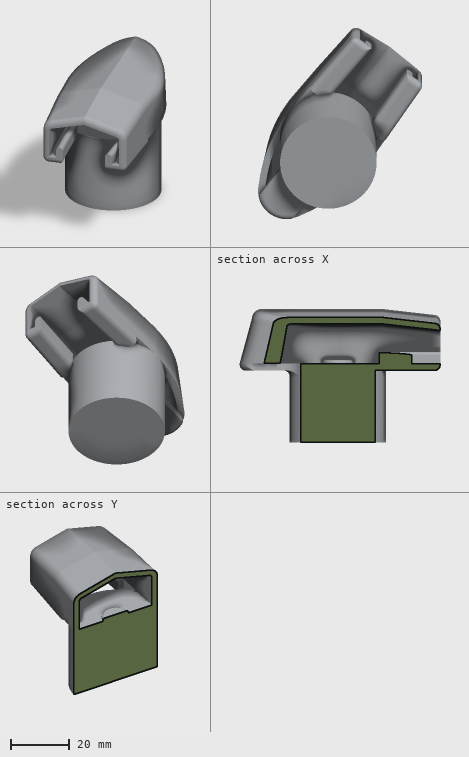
import cadquery as cq
import math

POST_RADIUS = 16.5
FLOOR_Z = 27.0
UNDERSIDE_Z = 24.5
RIDGE_Z = 45.59

NOSE_Y = -35.0
TAIL_Y = 33.58
TAIL_RADIUS = 10.0
TAIL_DRAFT = math.tan(math.radians(15))
SIDE_TAPER_ANGLE = math.radians(2.8)

ROOF_PITCH = math.tan(math.radians(15))
ROOF_BREAK_Y = -15.0
NOSE_FALL = math.tan(math.radians(6.5))

EAVE_FILLET = 3.4
EDGE_FILLET = 2.0
WALL = 2.3
CAVITY_EAVE_FILLET = 1.1

LIP_WIDTH = 7.26
LIP_BACK_Y = -10.85
LIP_CORNER_RADIUS = 1.0
RAIL_WIDTH = 2.4
RAIL_TOP_Z = 30.9
RAIL_BACK_Y = -14.0
RAIL_ROUND = 1.1

RIB_HALF_WIDTH = 7.0
RIB_TIP_FILLET = 3.0
RIB_ROOT_FILLET = 6.0
RIB_UNDER_FILLET = 2.0

PIVOT_RADIUS = 5.1
PIVOT_HEIGHT = 1.1
PIVOT_FILLET = 0.8

MARGIN = 5.0
TOLERANCE = 0.001


def side_x(y, inset=0.0):
    """Half width at y of the tapered side face, moved inward by inset."""
    return (POST_RADIUS - inset) / math.cos(SIDE_TAPER_ANGLE) + y * math.tan(SIDE_TAPER_ANGLE)


def prism(outline, bottom, top):
    """Extrude a closed outline, drawn in XY, between two heights."""
    return outline.extrude(top - bottom).translate((0, 0, bottom))


def mirrored_pair(body):
    """Body plus its mirror image across the YZ plane."""
    return body.union(body.mirror("YZ"))


def front_outline(nose_y, inset=0.0):
    """Post circle at the back, running tangentially into the tapered sides."""
    radius = POST_RADIUS - inset
    nose_x = side_x(nose_y, inset)
    tangent_x = radius * math.cos(SIDE_TAPER_ANGLE)
    tangent_y = -radius * math.sin(SIDE_TAPER_ANGLE)
    mid_x = radius * math.cos(SIDE_TAPER_ANGLE / 2)
    mid_y = -radius * math.sin(SIDE_TAPER_ANGLE / 2)
    return (
        cq.Workplane("XY")
        .moveTo(radius, 0)
        .threePointArc((mid_x, mid_y), (tangent_x, tangent_y))
        .lineTo(nose_x, nose_y)
        .lineTo(-nose_x, nose_y)
        .lineTo(-tangent_x, tangent_y)
        .threePointArc((-mid_x, mid_y), (-radius, 0))
        .close()
    )


def tail_outline(workplane, tip_y, inset=0.0):
    """Two flank arcs, square to the X axis, joined by a tangent tip arc."""
    half_width = POST_RADIUS - inset
    tip_radius = TAIL_RADIUS - inset
    tip_center_y = tip_y - tip_radius
    flank_radius = (tip_center_y**2 + half_width**2 - tip_radius**2) / (2 * (half_width - tip_radius))
    flank_center_x = half_width - flank_radius
    sweep = math.atan2(tip_center_y, -flank_center_x)
    join_x = flank_center_x + flank_radius * math.cos(sweep)
    join_y = flank_radius * math.sin(sweep)
    mid_x = flank_center_x + flank_radius * math.cos(sweep / 2)
    mid_y = flank_radius * math.sin(sweep / 2)
    return (
        workplane.moveTo(half_width, 0)
        .threePointArc((mid_x, mid_y), (join_x, join_y))
        .threePointArc((0, tip_y), (-join_x, join_y))
        .threePointArc((-mid_x, mid_y), (-half_width, 0))
        .close()
    )


def leaning_tail(inset=0.0):
    """Tail above floor height; its tip leans forward while its sides stay upright."""
    height = RIDGE_Z + MARGIN - FLOOR_Z
    tip_y = TAIL_Y - inset * math.hypot(1, TAIL_DRAFT)
    base = tail_outline(cq.Workplane("XY").workplane(offset=FLOOR_Z), tip_y, inset)
    top = tail_outline(base.workplane(offset=height), tip_y - height * TAIL_DRAFT, inset)
    return top.loft(ruled=True)


def gable(crest_z, front_y, back_y, fall=0.0):
    """Gable-roofed bar along Y whose roof falls toward -Y at the given slope."""
    half_width = POST_RADIUS + MARGIN
    length = back_y - front_y
    eave_z = crest_z - half_width * ROOF_PITCH
    section = cq.Wire.makePolygon(
        [
            cq.Vector(-half_width, back_y, 0),
            cq.Vector(half_width, back_y, 0),
            cq.Vector(half_width, back_y, eave_z),
            cq.Vector(0, back_y, crest_z),
            cq.Vector(-half_width, back_y, eave_z),
        ],
        close=True,
    )
    direction = cq.Vector(0, -length, -length * fall)
    return cq.Workplane(cq.Solid.extrudeLinear(section, [], direction))


def roof_envelope(crest_z):
    """Everything under a roof that is level at the back and falls at the nose."""
    level = gable(crest_z, ROOF_BREAK_Y, TAIL_Y + MARGIN)
    falling = gable(crest_z, NOSE_Y - MARGIN, ROOF_BREAK_Y, NOSE_FALL)
    return level.union(falling)


def is_eave(edge):
    """True for the roof rim along the sides and tail, not the crest, the break or the nose."""
    start = edge.startPoint()
    end = edge.endPoint()
    on_roof = min(start.z, end.z) > (FLOOR_Z + RIDGE_Z) / 2
    runs_along_y = abs(start.y - end.y) > TOLERANCE
    on_crest = abs(edge.Center().x) < TOLERANCE
    return on_roof and runs_along_y and not on_crest


def head_block():
    """Solid head with rounded eaves, nose outline and underside rim."""
    front = prism(front_outline(NOSE_Y), UNDERSIDE_Z, RIDGE_Z + MARGIN)
    tail_base = prism(tail_outline(cq.Workplane("XY"), TAIL_Y), UNDERSIDE_Z, FLOOR_Z)
    block = front.union(tail_base).union(leaning_tail()).intersect(roof_envelope(RIDGE_Z))
    block = block.edges().filter(is_eave).fillet(EAVE_FILLET)
    return block.faces("<Z or <Y").edges().fillet(EDGE_FILLET)


def cavity():
    """Hollow open at the nose, following the sides, tail and roof one wall inside."""
    front = prism(front_outline(NOSE_Y - MARGIN, WALL), FLOOR_Z, RIDGE_Z + MARGIN)
    ceiling_crest = RIDGE_Z - WALL * math.hypot(1, ROOF_PITCH)
    hollow = front.union(leaning_tail(WALL)).intersect(roof_envelope(ceiling_crest))
    return hollow.edges().filter(is_eave).fillet(CAVITY_EAVE_FILLET)


def side_strip(outer_inset, inner_inset, front_y, back_y):
    """Strip parallel to the right side face, between two insets from it."""
    return (
        cq.Workplane("XY")
        .moveTo(side_x(front_y, outer_inset), front_y)
        .lineTo(side_x(back_y, outer_inset), back_y)
        .lineTo(side_x(back_y, inner_inset), back_y)
        .lineTo(side_x(front_y, inner_inset), front_y)
        .close()
    )


def lip_keep():
    """Region holding the right lip, rounded at its back corner and lower inner edge."""
    strip = prism(side_strip(0, LIP_WIDTH, NOSE_Y, LIP_BACK_Y), UNDERSIDE_Z, FLOOR_Z)
    strip = strip.edges("|Z").edges(">Y").edges(">X").fillet(LIP_CORNER_RADIUS)
    return strip.faces("<X").edges("<Z").fillet(EDGE_FILLET)


def rib_keep():
    """Region holding the tail rib, with its tip corners rounded."""
    rib = cq.Workplane("XY").center(0, TAIL_Y / 2).rect(2 * RIB_HALF_WIDTH, TAIL_Y)
    tail = prism(tail_outline(cq.Workplane("XY"), TAIL_Y), UNDERSIDE_Z, FLOOR_Z)
    clipped = tail.intersect(prism(rib, UNDERSIDE_Z, FLOOR_Z))
    return clipped.edges("|Z").edges(">Y").fillet(RIB_TIP_FILLET)


def rib_root():
    """Flare where the rib meets the post: vertical side fillets and a fillet below."""
    reach = POST_RADIUS + RIB_ROOT_FILLET
    center_x = RIB_HALF_WIDTH + RIB_ROOT_FILLET
    center_y = math.sqrt(reach**2 - center_x**2)
    touch_x = center_x * POST_RADIUS / reach
    touch_y = center_y * POST_RADIUS / reach
    to_post = math.atan2(-center_y, -center_x)
    mid_angle = (to_post - math.pi) / 2
    mid_x = center_x + RIB_ROOT_FILLET * math.cos(mid_angle)
    mid_y = center_y + RIB_ROOT_FILLET * math.sin(mid_angle)
    footprint = (
        cq.Workplane("XY")
        .moveTo(touch_x, touch_y)
        .threePointArc((mid_x, mid_y), (RIB_HALF_WIDTH, center_y))
        .lineTo(-RIB_HALF_WIDTH, center_y)
        .threePointArc((-mid_x, mid_y), (-touch_x, touch_y))
        .lineTo(0, 0)
        .close()
    )
    bottom_z = UNDERSIDE_Z - RIB_UNDER_FILLET
    fillet_edge = POST_RADIUS + RIB_UNDER_FILLET
    bend = RIB_UNDER_FILLET * (1 - math.cos(math.radians(45)))
    collar = (
        cq.Workplane("XZ")
        .moveTo(0, bottom_z)
        .lineTo(POST_RADIUS, bottom_z)
        .threePointArc((POST_RADIUS + bend, UNDERSIDE_Z - bend), (fillet_edge, UNDERSIDE_Z))
        .lineTo(reach, UNDERSIDE_Z)
        .lineTo(reach, FLOOR_Z)
        .lineTo(0, FLOOR_Z)
        .close()
        .revolve(360, (0, 0, 0), (0, 1, 0))
    )
    return prism(footprint, bottom_z, FLOOR_Z).intersect(collar)


def trimmed_head():
    """Hollow head with only the lips and the rib left below the floor."""
    head = head_block().cut(cavity())
    span = 2 * (TAIL_Y - NOSE_Y)
    upper = prism(cq.Workplane("XY").rect(span, span), FLOOR_Z, RIDGE_Z + MARGIN)
    keep = upper.union(mirrored_pair(lip_keep())).union(rib_keep())
    return head.intersect(keep)


def rail():
    """Round-topped rail along the inner edge of the right lip."""
    strip = side_strip(LIP_WIDTH - RAIL_WIDTH, LIP_WIDTH, NOSE_Y, RAIL_BACK_Y)
    body = prism(strip, FLOOR_Z, RAIL_TOP_Z)
    return body.faces(">Z").edges("not(|X)").fillet(RAIL_ROUND)


def pivot():
    """Low disc with a rounded rim on the cavity floor."""
    disc = cq.Workplane("XY").workplane(offset=FLOOR_Z).circle(PIVOT_RADIUS).extrude(PIVOT_HEIGHT)
    return disc.faces(">Z").edges().fillet(PIVOT_FILLET)


post = cq.Workplane("XY").circle(POST_RADIUS).extrude(FLOOR_Z)
result = trimmed_head().union(post).union(rib_root()).union(mirrored_pair(rail())).union(pivot())